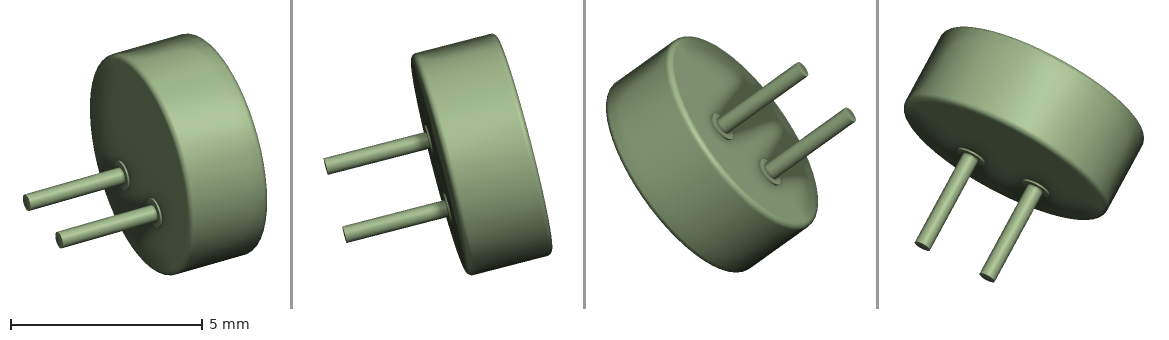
import cadquery as cq

housing_diameter = 6.0
housing_depth = 2.305
edge_radius = 0.15

pin_diameter = 0.45
pin_length = 2.81
pin_spacing = 1.9
pin_z = -0.9
collar_diameter = 0.8
collar_height = 0.05

mark_x = 0.965
mark_z = -0.05
mark_span = 0.67
mark_arm_width = 0.12
mark_depth = 0.05


def face_plane(x=0, z=0):
    """Plane on the pin face, with its normal pointing to -Y, out of the housing."""
    return cq.Workplane("XZ", origin=(x, 0, z))


def make_polarity_mark():
    plane = face_plane(mark_x, mark_z)
    horizontal_arm = plane.rect(mark_span, mark_arm_width).extrude(-mark_depth)
    vertical_arm = plane.rect(mark_arm_width, mark_span).extrude(-mark_depth)
    return horizontal_arm.union(vertical_arm).clean()


def make_pin(x):
    """Pin with its collar, standing on the pin face."""
    plane = face_plane(x, pin_z)
    collar = plane.circle(collar_diameter / 2).extrude(collar_height)
    pin = plane.circle(pin_diameter / 2).extrude(pin_length)
    return collar.union(pin)


def make_housing(mark):
    """Can with rounded rims and its two pins, recessed for the polarity mark."""
    housing = face_plane().circle(housing_diameter / 2).extrude(-housing_depth)
    housing = housing.edges("%CIRCLE").fillet(edge_radius)
    for side in (-1, 1):
        housing = housing.union(make_pin(side * pin_spacing / 2))
    return housing.cut(mark)


polarity_mark = make_polarity_mark()
housing = make_housing(polarity_mark)

result = cq.Compound.makeCompound([housing.val(), polarity_mark.val()])